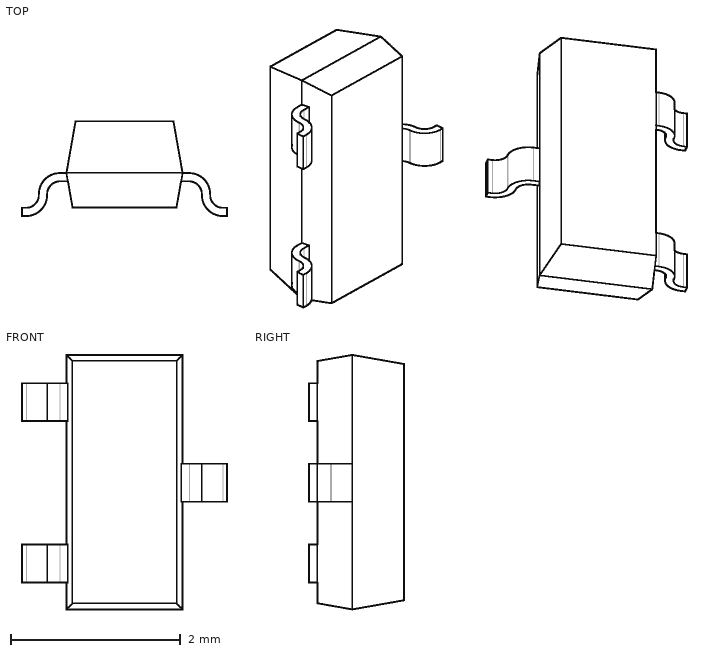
import cadquery as cq
import math

parting_width = 1.37
housing_height = 3.0
draft_angle = 10.0
front_depth = 0.41
back_depth = 0.61

overall_width = 2.42
strip_thickness = 0.1
strip_width = 0.45
foot_length = 0.05
inner_bend_radius = 0.15
paired_lead_pitch = 1.9
lead_row_centre_z = -0.0075

draft_slope = math.tan(math.radians(draft_angle))
outer_bend_radius = inner_bend_radius + strip_thickness

tip_x = overall_width / 2
foot_bend_x = tip_x - foot_length
riser_outer_x = foot_bend_x - inner_bend_radius
riser_inner_x = foot_bend_x - outer_bend_radius
shoulder_bend_x = riser_outer_x - outer_bend_radius

shoulder_back_y = 0.0
shoulder_front_y = shoulder_back_y - strip_thickness
shoulder_bend_y = shoulder_back_y - outer_bend_radius
foot_back_y = -front_depth
foot_front_y = foot_back_y - strip_thickness
foot_bend_y = foot_front_y + outer_bend_radius


def housing_half(depth, direction):
    """Half that narrows from the parting plane towards direction (+1 or -1) along Y."""
    parting_plane = cq.Plane(origin=(0, 0, 0), xDir=(1, 0, 0), normal=(0, direction, 0))
    return cq.Workplane(parting_plane).rect(parting_width, housing_height).extrude(depth, taper=draft_angle)


def wall_x(y):
    """Distance of the drafted side wall of the front half from the centre, at level y."""
    return parting_width / 2 + y * draft_slope


def gull_wing_lead(side, centre_z):
    """Lead on the +X (side = 1) or -X (side = -1) wall, its inner end flush on the drafted wall."""
    half_way = math.sqrt(0.5)

    def point(x, y):
        return side * x, y

    def foot_bend_middle(radius):
        return point(foot_bend_x - radius * half_way, foot_bend_y - radius * half_way)

    def shoulder_bend_middle(radius):
        return point(shoulder_bend_x + radius * half_way, shoulder_bend_y + radius * half_way)

    return (
        cq.Workplane("XY", origin=(0, 0, centre_z - strip_width / 2))
        .moveTo(*point(tip_x, foot_front_y))
        .lineTo(*point(foot_bend_x, foot_front_y))
        .threePointArc(foot_bend_middle(outer_bend_radius), point(riser_inner_x, foot_bend_y))
        .lineTo(*point(riser_inner_x, shoulder_bend_y))
        .threePointArc(shoulder_bend_middle(inner_bend_radius), point(shoulder_bend_x, shoulder_front_y))
        .lineTo(*point(wall_x(shoulder_front_y), shoulder_front_y))
        .lineTo(*point(wall_x(shoulder_back_y), shoulder_back_y))
        .lineTo(*point(shoulder_bend_x, shoulder_back_y))
        .threePointArc(shoulder_bend_middle(outer_bend_radius), point(riser_outer_x, shoulder_bend_y))
        .lineTo(*point(riser_outer_x, foot_bend_y))
        .threePointArc(foot_bend_middle(inner_bend_radius), point(foot_bend_x, foot_back_y))
        .lineTo(*point(tip_x, foot_back_y))
        .close()
        .extrude(strip_width)
    )


front_half = housing_half(front_depth, -1)
back_half = housing_half(back_depth, 1)
single_lead = gull_wing_lead(1, lead_row_centre_z)
paired_leads = [
    gull_wing_lead(-1, lead_row_centre_z + end * paired_lead_pitch / 2)
    for end in (-1, 1)
]

result = cq.Compound.makeCompound(
    [front_half.val(), back_half.val(), single_lead.val(), *[lead.val() for lead in paired_leads]]
)